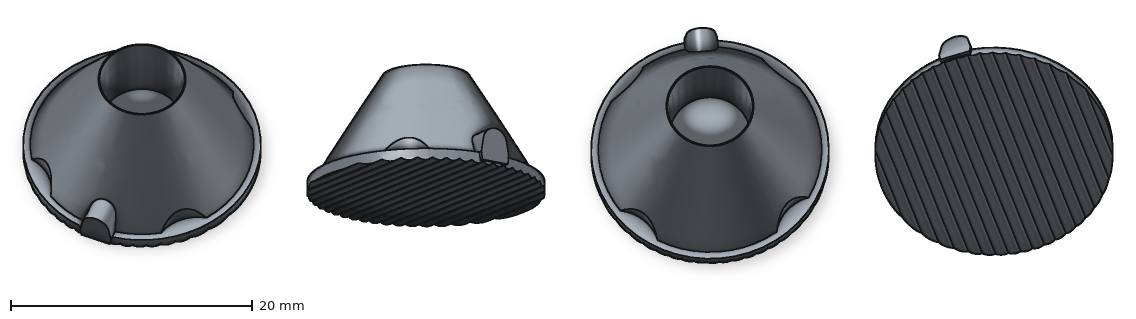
import cadquery as cq
import math

height = 10.05
flange_radius = 9.85
flange_top = 0.96
cone_base_radius = 9.25
cone_top_radius = 3.62
cone_bulge = 0.04

bore_top_radius = 3.52
bore_floor_radius = 3.33
bore_depth = 5.9

notch_count = 4
notch_radius = 3.65
notch_inner_reach = 8.4

key_angle = -45.0
key_inner_reach = 6.3
key_outer_reach = 10.05
key_bottom = 0.28
key_shoulder = 2.2
key_top = 3.17
key_bottom_half_width = 1.28
key_flange_half_width = 1.38
key_shoulder_half_width = 1.16

rib_pitch = 1.02
rib_height = 0.22
rib_direction = -45.0


def make_body():
    """Slightly bowed cone on a flange, with its axis along Z."""
    bulge_point = (
        (cone_base_radius + cone_top_radius) / 2 + cone_bulge,
        (flange_top + height) / 2,
    )
    profile = (
        cq.Workplane("XZ")
        .lineTo(flange_radius, 0)
        .lineTo(flange_radius, flange_top)
        .lineTo(cone_base_radius, flange_top)
        .threePointArc(bulge_point, (cone_top_radius, height))
        .lineTo(0, height)
        .close()
    )
    return profile.revolve(360, (0, 0, 0), (0, 1, 0))


def make_bore():
    floor = height - bore_depth
    profile = (
        cq.Workplane("XZ")
        .polyline([
            (0, floor),
            (bore_floor_radius, floor),
            (bore_top_radius, height),
            (0, height),
        ])
        .close()
    )
    return profile.revolve(360, (0, 0, 0), (0, 1, 0))


def make_notches():
    """Upright cylinders that bite into the foot of the cone."""
    return (
        cq.Workplane("XY", origin=(0, 0, flange_top))
        .polarArray(notch_inner_reach + notch_radius, 0, 360, notch_count)
        .circle(notch_radius)
        .extrude(height)
    )


def make_key():
    """Round-topped block, built along +X and turned to its place."""
    return (
        cq.Workplane("YZ", origin=(key_inner_reach, 0, 0))
        .moveTo(-key_bottom_half_width, key_bottom)
        .lineTo(key_bottom_half_width, key_bottom)
        .lineTo(key_flange_half_width, flange_top)
        .lineTo(key_shoulder_half_width, key_shoulder)
        .threePointArc((0, key_top), (-key_shoulder_half_width, key_shoulder))
        .lineTo(-key_flange_half_width, flange_top)
        .close()
        .extrude(key_outer_reach - key_inner_reach)
        .rotate((0, 0, 0), (0, 0, 1), key_angle)
    )


def make_rib_gaps():
    """Material below the ribs: one arched edge per rib, meeting in cusps."""
    ribs_per_side = math.ceil(flange_radius / rib_pitch)
    half_span = ribs_per_side * rib_pitch
    gaps = cq.Workplane("YZ", origin=(-half_span, 0, 0)).moveTo(-half_span, rib_height)
    for index in range(-ribs_per_side, ribs_per_side):
        start = index * rib_pitch
        gaps = gaps.threePointArc((start + rib_pitch / 2, 0), (start + rib_pitch, rib_height))
    return (
        gaps.lineTo(half_span, -rib_height)
        .lineTo(-half_span, -rib_height)
        .close()
        .extrude(2 * half_span)
        .rotate((0, 0, 0), (0, 0, 1), rib_direction)
    )


result = (
    make_body()
    .cut(make_notches())
    .cut(make_rib_gaps())
    .union(make_key())
    .cut(make_bore())
)